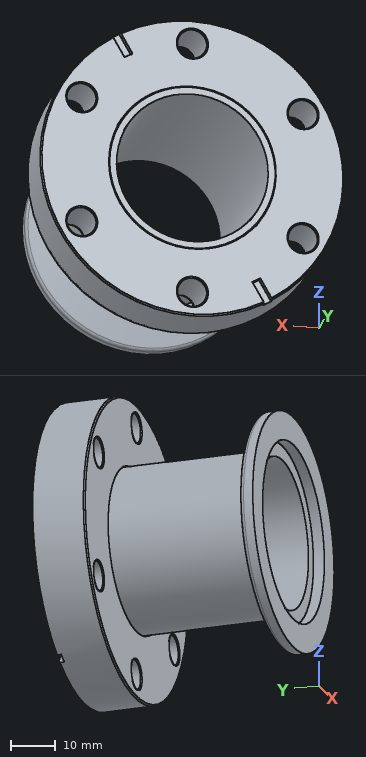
import cadquery as cq
import math

total_length = 50.0
front_y = -total_length / 2
back_y = total_length / 2

flange_diameter = 70.0
flange_thickness = 12.75
flange_chamfer = 0.35
bolt_count = 6
bolt_circle_diameter = 58.8
bolt_hole_diameter = 6.7
bolt_hole_chamfer = 0.3
leak_groove_width = 2.1
leak_groove_depth = 1.3
leak_groove_angles = (60, 240)

tube_diameter = 38.1
tube_clearance = 0.2
bore_diameter = 34.85
rim_diameter = 55.0
rim_edge_length = 2.9
rim_taper_angle = 15.0
rim_fillet = 0.85
recess_diameter = 41.65
recess_depth = 2.6


def cylinder(diameter, start_y, length):
    """Cylinder along +Y, centred on the Y axis."""
    return cq.Workplane(cq.Solid.makeCylinder(
        diameter / 2, length, cq.Vector(0, start_y, 0), cq.Vector(0, 1, 0)))


def make_leak_groove(angle):
    """Shallow radial groove in the back face, from the bolt circle to the rim."""
    inner_radius = bolt_circle_diameter / 2
    outer_radius = flange_diameter / 2 + leak_groove_width
    return (
        cq.Workplane("XY")
        .box(outer_radius - inner_radius, leak_groove_depth, leak_groove_width)
        .translate(((inner_radius + outer_radius) / 2, back_y - leak_groove_depth / 2, 0))
        .rotate((0, 0, 0), (0, -1, 0), angle)
    )


def make_flange():
    """Bolted flange with a through hole that clears the tube."""
    flange_front_y = back_y - flange_thickness
    tube_hole_diameter = tube_diameter + 2 * tube_clearance
    flange = cylinder(flange_diameter, flange_front_y, flange_thickness)
    flange = flange.edges().chamfer(flange_chamfer)
    flange = (
        flange.faces("<Y").workplane(origin=(0, flange_front_y, 0))
        .polarArray(bolt_circle_diameter / 2, 90, 360, bolt_count)
        .hole(bolt_hole_diameter)
    )
    flange = (
        flange.faces("<Y or >Y").edges(cq.selectors.RadiusNthSelector(0))
        .chamfer(bolt_hole_chamfer)
    )
    flange = flange.cut(cylinder(tube_hole_diameter, flange_front_y, flange_thickness))
    for angle in leak_groove_angles:
        flange = flange.cut(make_leak_groove(angle))
    return flange


def make_clamp_tube():
    """Tube running through the flange, with a tapered clamp rim at its front end."""
    tube_radius = tube_diameter / 2
    rim_radius = rim_diameter / 2
    rim_corner_y = front_y + rim_edge_length
    taper_length = (rim_radius - tube_radius) * math.tan(math.radians(rim_taper_angle))
    tube = (
        cq.Workplane("XY")
        .moveTo(0, front_y)
        .lineTo(rim_radius, front_y)
        .lineTo(rim_radius, rim_corner_y)
        .lineTo(tube_radius, rim_corner_y + taper_length)
        .lineTo(tube_radius, back_y)
        .lineTo(0, back_y)
        .close()
        .revolve(360, (0, 0, 0), (0, 1, 0))
    )
    rim_corner = cq.selectors.NearestToPointSelector((0, rim_corner_y, 0))
    tube = tube.edges("%CIRCLE").edges(rim_corner).fillet(rim_fillet)
    tube = tube.cut(cylinder(bore_diameter, front_y, total_length))
    return tube.cut(cylinder(recess_diameter, front_y, recess_depth))


flange = make_flange()
clamp_tube = make_clamp_tube()

result = cq.Compound.makeCompound([flange.val(), clamp_tube.val()])